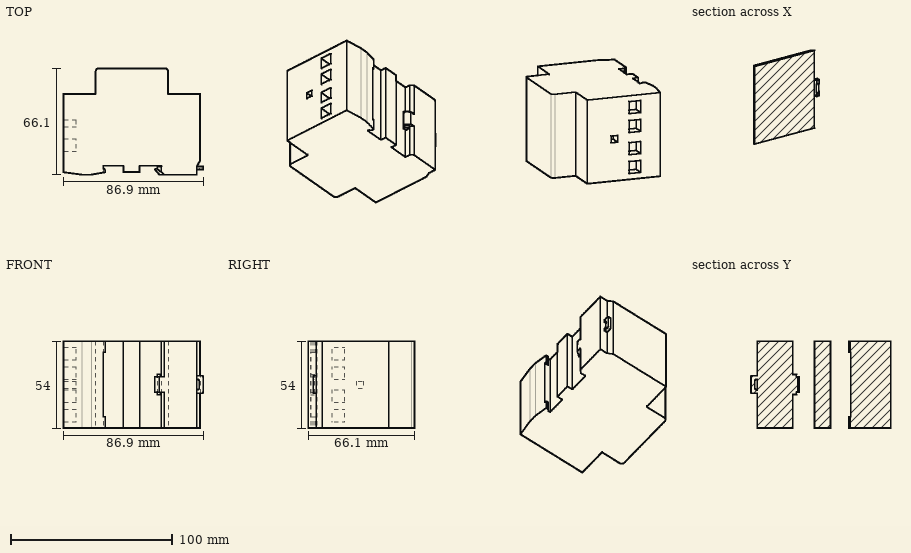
import cadquery as cq

overall_width = 86.9
body_width = 84.9
overall_height = 66.1
depth = 54.0
shoulder_height = 50.2

front_left = 20.0
front_right = 65.1
front_corner_radius = 2.0

left_edge_height = 1.6
left_foot_start = 11.6
left_foot_end = 17.2
lip_tip_x = 26.1
lip_root_x = 24.9
lip_bottom = 1.6
lip_tip_top = 2.95
lip_root_height = 4.3
lip_gap_depth = 39.8
rail_floor = 5.5
rib_left = 37.4
rib_right = 47.45
rib_bottom = 1.65
right_foot_left = 60.8
right_foot_bevel_width = 1.8
right_foot_bevel_height = 1.8
right_foot_right = 83.0
side_bevel_bottom = 5.2
side_bevel_top = 8.7

terminal_size = 7.7
terminal_y = 18.5
terminal_offsets_z = (7.1, 19.3)
screw_opening_size = 4.35
screw_opening_y = 32.1
opening_depth = 7.8

hook_depth = 9.5
hook_tip_x = 56.75
hook_tip_y = 3.4
hook_bottom_x = 59.6
latch_top = 5.2
guide_depth = 12.6
guide_left = 58.2
guide_left_bottom = 4.0
guide_flat_x = 60.2
guide_flat_y = 1.8
tab_depth = 11.0
tab_bottom = 3.2
tab_top = 5.2
tab_corner_radius = 0.95
tab_slot_depth = 6.5
tab_slot_right = 84.4
tab_slot_radius = 1.1


def prism(points, length):
    """Extrude an XY outline symmetrically about the middle plane Z = 0."""
    return cq.Workplane("XY").polyline(points).close().extrude(length / 2, both=True)


def block(x_min, x_max, y_min, y_max, length):
    """Box given by its X and Y limits, centred on Z = 0."""
    return prism([(x_min, y_min), (x_max, y_min), (x_max, y_max), (x_min, y_max)], length)


def make_housing():
    outline = [
        (0, left_edge_height),
        (left_foot_start, 0),
        (left_foot_end, 0),
        (lip_tip_x, lip_bottom),
        (lip_tip_x, lip_tip_top),
        (lip_root_x, lip_root_height),
        (lip_root_x, rail_floor),
        (rib_left, rail_floor),
        (rib_left, rib_bottom),
        (rib_right, rib_bottom),
        (rib_right, rail_floor),
        (right_foot_left, rail_floor),
        (right_foot_left, right_foot_bevel_height),
        (right_foot_left + right_foot_bevel_width, 0),
        (right_foot_right, 0),
        (right_foot_right, side_bevel_bottom),
        (body_width, side_bevel_top),
        (body_width, shoulder_height),
        (front_right, shoulder_height),
        (front_right, overall_height),
        (front_left, overall_height),
        (front_left, shoulder_height),
        (0, shoulder_height),
    ]
    housing = prism(outline, depth).faces(">Y").edges("|Z").fillet(front_corner_radius)
    lip_gap = block(lip_root_x, lip_tip_x, 0, rail_floor, lip_gap_depth)
    return housing.cut(lip_gap)


def wall_opening(size, y, z):
    """Square blind opening in the left wall."""
    return cq.Workplane("XY").box(opening_depth, size, size).translate((opening_depth / 2, y, z))


def make_hook():
    return prism(
        [
            (hook_bottom_x, 0),
            (right_foot_left + right_foot_bevel_width, 0),
            (right_foot_left + right_foot_bevel_width, latch_top),
            (guide_left, latch_top),
            (guide_left, guide_left_bottom),
            (hook_tip_x, hook_tip_y),
        ],
        hook_depth,
    )


def make_guide():
    return prism(
        [
            (guide_left, latch_top),
            (guide_left, guide_left_bottom),
            (guide_flat_x, guide_flat_y),
            (right_foot_left, guide_flat_y),
            (right_foot_left, latch_top),
        ],
        guide_depth,
    )


def make_tab():
    tab = block(right_foot_right, overall_width, tab_bottom, tab_top, tab_depth)
    tab = tab.faces(">X").edges("|Y").fillet(tab_corner_radius)
    slot = block(right_foot_right - tab_slot_radius, tab_slot_right, tab_bottom, tab_top, tab_slot_depth)
    slot = slot.faces(">X").edges("|Y").fillet(tab_slot_radius)
    return tab.cut(slot)


result = make_housing()
for offset in terminal_offsets_z:
    for side in (-1, 1):
        result = result.cut(wall_opening(terminal_size, terminal_y, side * offset))
result = result.cut(wall_opening(screw_opening_size, screw_opening_y, 0))
result = result.union(make_hook()).union(make_guide()).union(make_tab())